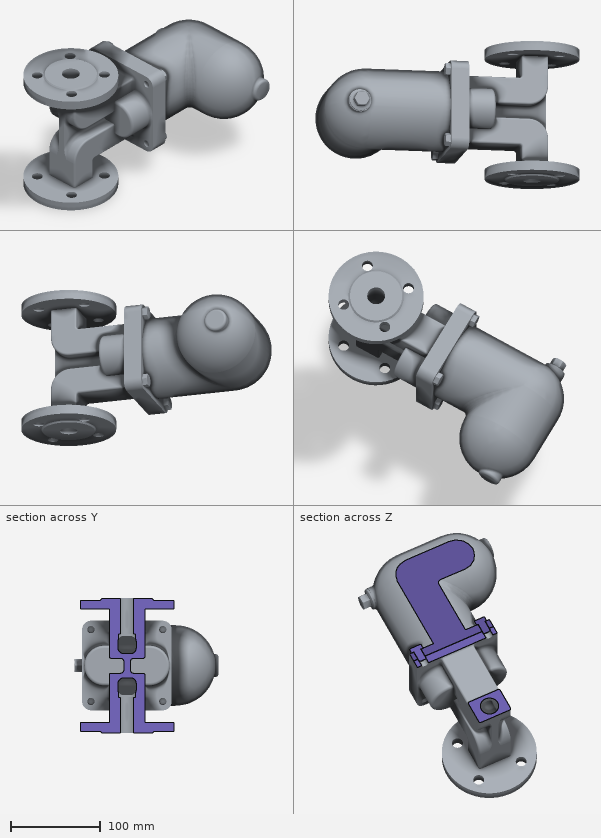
import cadquery as cq
import math


flange_radius = 53.0
flange_thickness = 10.5
flange_bolt_circle_radius = 37.5
flange_bolt_count = 4
flange_bolt_start_angle = 45
flange_bolt_diameter = 12.0
raised_face_radius = 30.8
raised_face_height = 1.7
half_height = 75.02
flange_back_z = half_height - raised_face_height - flange_thickness

square_side = 100.0
square_corner_radius = 10.0
square_thickness = 10.0
joint_y = 90.0
body_square_y = joint_y - square_thickness
cover_square_y = joint_y + square_thickness

leg_width = 40.0
leg_depth = 30.0
leg_half_depth = leg_depth / 2
leg_inner_z = 8.0
leg_outer_z = leg_inner_z + leg_depth
leg_bend_radius = 22.2
leg_edge_radius = 2.0
inside_corner_radius = 3.0
web_thickness = 7.8
web_fillet_radius = 3.5

bore_diameter = 20.0
bore_radius = bore_diameter / 2
bore_axis_z = leg_inner_z + leg_half_depth
bore_edge_radius = 6.0

boss_front_y = 49.2
boss_radius = 22.2
boss_half_width = 47.5
boss_edge_radius = 3.0
base_fillet_radius = 3.0
base_margin = 0.3

barrel_radius = 45.0
elbow_y = 190.0
dome_x = 54.0
mitre_fillet_radius = 8.5
port_y = 203.0
port_radius = 12.7
port_fillet_radius = 2.0
port_edge_radius = 3.0
plain_port_end_x = 102.0
plug_port_end_x = -45.5

plug_end_x = -58.2
plug_collar_end_x = -49.5
plug_collar_radius = 12.0
plug_taper_length = 1.7
plug_flats = 15.0
plug_angle = 30

bolt_offset = 40.0
bolt_diameter = 8.0
bolt_flats = 13.0
bolt_head_height = 5.8
bolt_recess = 5.8
bolt_tip_chamfer = 1.0
hex_chamfer_angle = math.radians(30)
hex_corner_ratio = 1 / math.cos(math.radians(30))


def cylinder(radius, start, end):
    """Solid cylinder between two points."""
    axis = cq.Vector(*end) - cq.Vector(*start)
    return cq.Workplane(cq.Solid.makeCylinder(radius, axis.Length, cq.Vector(*start), axis))


def square_flange(start_y):
    """Square mating flange with rounded corners and four bolt holes."""
    holes = [(x, z) for x in (-bolt_offset, bolt_offset) for z in (-bolt_offset, bolt_offset)]
    return (
        cq.Workplane("XZ", origin=(0, start_y, 0))
        .rect(square_side, square_side)
        .extrude(-square_thickness)
        .edges("|Y")
        .fillet(square_corner_radius)
        .faces("<Y")
        .workplane(origin=(0, start_y, 0))
        .pushPoints(holes)
        .hole(bolt_diameter)
    )


def upper_leg_blank():
    """Solid blank of the upper leg and the upper half of the web (z >= 0)."""
    corner_y = leg_half_depth + inside_corner_radius
    return (
        cq.Workplane("YZ", origin=(-leg_width / 2, 0, 0))
        .moveTo(-leg_half_depth, 0)
        .lineTo(-leg_half_depth, flange_back_z)
        .lineTo(leg_half_depth, flange_back_z)
        .lineTo(leg_half_depth, leg_outer_z + inside_corner_radius)
        .radiusArc((corner_y, leg_outer_z), -inside_corner_radius)
        .lineTo(body_square_y, leg_outer_z)
        .lineTo(body_square_y, 0)
        .close()
        .extrude(leg_width)
    )


def side_pocket():
    """Space beside the web on the +X side, rounded where it meets the web."""
    bend_centre_y = leg_bend_radius - leg_half_depth
    bend_end_z = leg_inner_z + leg_bend_radius
    straight_end_z = bend_end_z + 2 * web_fillet_radius
    open_y = -leg_half_depth - 2 * leg_bend_radius
    return (
        cq.Workplane("YZ", origin=(web_thickness / 2, 0, 0))
        .moveTo(open_y, -straight_end_z)
        .lineTo(-leg_half_depth, -straight_end_z)
        .lineTo(-leg_half_depth, -bend_end_z)
        .radiusArc((bend_centre_y, -leg_inner_z), leg_bend_radius)
        .lineTo(body_square_y, -leg_inner_z)
        .lineTo(body_square_y, leg_inner_z)
        .lineTo(bend_centre_y, leg_inner_z)
        .radiusArc((-leg_half_depth, bend_end_z), leg_bend_radius)
        .lineTo(-leg_half_depth, straight_end_z)
        .lineTo(open_y, straight_end_z)
        .close()
        .extrude(leg_width)
        .faces("<X")
        .edges()
        .fillet(web_fillet_radius)
    )


def legs():
    """Both pipe legs joined by the web."""
    upper = upper_leg_blank()
    block = upper.union(upper.mirror("XY")).clean()
    pocket = side_pocket()
    block = block.cut(pocket).cut(pocket.mirror("YZ"))
    return block.faces("<X or >X").edges("not(<Z or >Z or >Y)").fillet(leg_edge_radius)


def oblong_boss():
    """Boss in front of the square flange, rounded at its front rim."""
    return (
        cq.Workplane("XZ", origin=(0, body_square_y, 0))
        .slot2D(2 * boss_half_width, 2 * boss_radius)
        .extrude(body_square_y - boss_front_y)
        .faces("<Y")
        .edges()
        .fillet(boss_edge_radius)
    )


def upper_pipe_flange():
    """Round pipe flange with a chamfered raised face."""
    return (
        cq.Workplane("XY", origin=(0, 0, flange_back_z))
        .circle(flange_radius)
        .extrude(flange_thickness)
        .faces(">Z")
        .workplane()
        .polarArray(flange_bolt_circle_radius, flange_bolt_start_angle, 360, flange_bolt_count)
        .hole(flange_bolt_diameter)
        .faces(">Z")
        .workplane()
        .circle(raised_face_radius)
        .extrude(raised_face_height, taper=45)
    )


def upper_passage():
    """Round bore down the flange that turns into a rounded square duct to the joint."""
    floor_z = bore_axis_z - bore_radius
    bend_start_z = floor_z + leg_bend_radius
    duct = (
        cq.Workplane("YZ", origin=(-bore_radius, 0, 0))
        .moveTo(-bore_radius, bend_start_z)
        .radiusArc((leg_bend_radius - bore_radius, floor_z), -leg_bend_radius)
        .lineTo(joint_y, floor_z)
        .lineTo(joint_y, floor_z + bore_diameter)
        .lineTo(bore_radius, floor_z + bore_diameter)
        .lineTo(bore_radius, bend_start_z)
        .close()
        .extrude(bore_diameter)
        .faces("<X or >X")
        .edges("not (>Y or >Z)")
        .fillet(bore_edge_radius)
    )
    bore = cylinder(bore_radius, (0, 0, bend_start_z), (0, 0, half_height))
    return duct.union(bore)


def make_body():
    """Flanged body with the pipe legs, the oblong boss and the square flange."""
    body = square_flange(body_square_y).union(legs()).union(oblong_boss())
    outline = cq.selectors.BoxSelector(
        (-boss_half_width - base_margin, body_square_y - base_margin, -leg_outer_z - base_margin),
        (boss_half_width + base_margin, body_square_y + base_margin, leg_outer_z + base_margin),
        boundingbox=True,
    )
    body = body.edges(outline).fillet(base_fillet_radius)
    flange = upper_pipe_flange()
    passage = upper_passage()
    body = body.union(flange).union(flange.mirror("XY"))
    return body.cut(passage).cut(passage.mirror("XY"))


def dome(centre, pole_direction):
    """Ball that rounds off the barrels, with its poles along the given direction."""
    ball = cq.Solid.makeSphere(barrel_radius, cq.Vector(0, 0, 0), cq.Vector(*pole_direction), -90, 90, 360)
    return cq.Workplane(ball).translate(centre)


def add_port(shell, dome_centre_x, end_x):
    """Add a round port boss along X, filleted where it leaves its dome."""
    boss = cylinder(port_radius, (dome_centre_x, port_y, 0), (end_x, port_y, 0))
    root_reach = math.sqrt(barrel_radius**2 - (port_y - elbow_y) ** 2 - port_radius**2)
    root_x = dome_centre_x + math.copysign(root_reach, end_x)
    root = cq.selectors.NearestToPointSelector((root_x, port_y, 0))
    return shell.union(boss).edges(root).fillet(port_fillet_radius)


def barrels():
    """Two barrels meeting in a mitre, with the concave side of the mitre filleted."""
    corner = (0, elbow_y, 0)
    shell = cylinder(barrel_radius, (0, joint_y, 0), corner)
    shell = shell.union(cylinder(barrel_radius, corner, (dome_x, elbow_y, 0)))
    return shell.edges("%ELLIPSE or %BSPLINE").fillet(mitre_fillet_radius)


def make_cover():
    """Elbow-shaped cover with domed ends, two ports and the square flange."""
    shell = barrels()
    shell = shell.union(dome((0, elbow_y, 0), (-1, 1, 0))).union(dome((dome_x, elbow_y, 0), (1, 0, 0)))
    shell = add_port(shell, dome_x, plain_port_end_x)
    shell = shell.faces(">X").edges().fillet(port_edge_radius)
    shell = add_port(shell, 0, plug_port_end_x)
    return shell.union(square_flange(joint_y))


def hex_head(base, direction, flats, height, angle):
    """Hexagon head standing on its base point, with its outer corners chamfered off."""
    corner_radius = flats * hex_corner_ratio / 2
    corner_depth = corner_radius - flats / 2
    head = cq.Workplane("XY").polygon(6, 2 * corner_radius).extrude(height)
    blank = cq.Workplane("XY").circle(corner_radius).extrude(height)
    blank = blank.faces(">Z").chamfer(corner_depth * math.tan(hex_chamfer_angle), corner_depth)
    head = head.intersect(blank).rotate((0, 0, 0), (0, 0, 1), angle)
    seat = cq.Plane(origin=base, xDir=(0, 0, 1), normal=direction)
    return cq.Workplane(head.val().moved(cq.Location(seat)))


def make_plug():
    """Hexagon plug with a collar that seats on the port face and tapers down to the flats."""
    seat = (plug_port_end_x, port_y, 0)
    collar_end = (plug_collar_end_x, port_y, 0)
    collar = cylinder(plug_collar_radius, seat, collar_end)
    collar = collar.faces("<X").chamfer(plug_taper_length, plug_collar_radius - plug_flats / 2)
    hexagon_length = plug_collar_end_x - plug_end_x
    return collar.union(hex_head(collar_end, (-1, 0, 0), plug_flats, hexagon_length, plug_angle))


def make_bolt(x, z, head_angle):
    """Bolt along Y with its head behind the cover flange and its tip inside the body flange."""
    head_base = (x, cover_square_y, z)
    shank = cylinder(bolt_diameter / 2, (x, body_square_y + bolt_recess, z), head_base)
    shank = shank.faces("<Y").chamfer(bolt_tip_chamfer)
    return shank.union(hex_head(head_base, (0, 1, 0), bolt_flats, bolt_head_height, head_angle))


body = make_body()
cover = make_cover()
plug = make_plug()
bolt_places = [(-1, 1, 30), (1, 1, 7), (-1, -1, 0), (1, -1, 30)]
bolts = [make_bolt(x * bolt_offset, z * bolt_offset, angle) for x, z, angle in bolt_places]
result = cq.Compound.makeCompound(
    [body.val(), cover.val(), plug.val(), *[bolt.val() for bolt in bolts]]
)